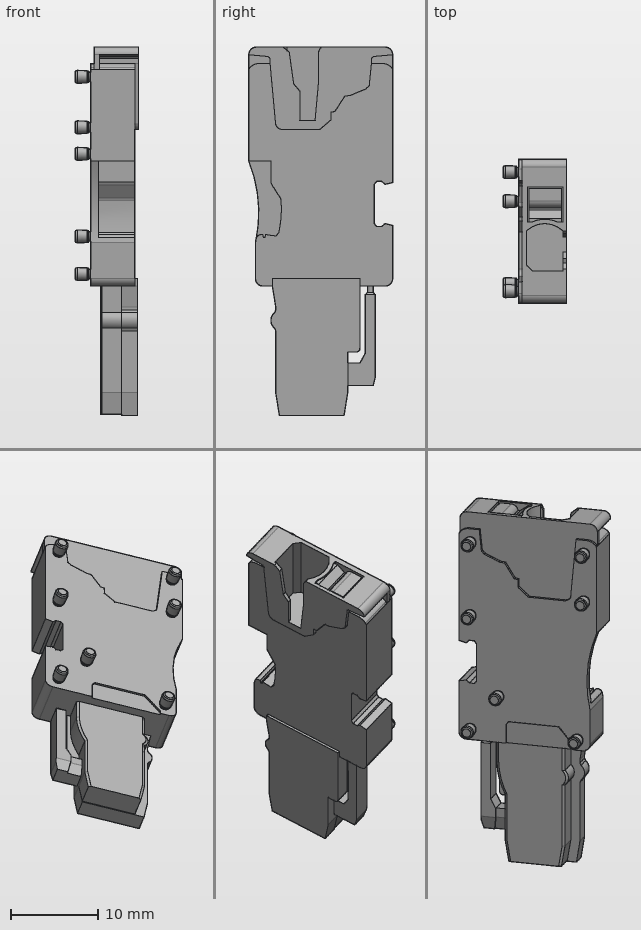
import cadquery as cq


DEPTH = 16.5
HEIGHT = 42.25
HOUSING_RIGHT = 5.05
HEAD_LEFT = 0.4
HEAD_RIGHT = 5.5
HOUSING_BOTTOM = 14.85
CORNER_RADIUS = 0.9

GRIP_TOP = 29.15
FOOT_FRONT = 0.75
FOOT_TOP = 19.8
GRIP_RIDGE_EDGE = 20.2
PLATE_THICKNESS = 0.9
GROOVE_MID_Z = 24.25
GROOVE_FLOOR_Y = 14.4
ARM_TOP = 40.35
ARM_EDGE_TOP = 39.9
ARM_BEVEL = 0.13
ARM_CURVE_WIDTH = 1.1
RECESS_DEPTH = 0.2

LIP_BOTTOM = HEIGHT - CORNER_RADIUS
LIP_DROP = 0.2
LIP_ROOT = 0.2
FLANGE_RIGHT = 1.0
FLANGE_BOTTOM = 39.67
ARM_INNER = 2.45
ENTRY_LEFT = 0.9
ENTRY_FRONT = 3.7
ENTRY_BACK = 8.3
ENTRY_CROWN = 9.13
ENTRY_CHAMFER = 0.68
ENTRY_MID_X = (ENTRY_LEFT + HOUSING_RIGHT) / 2
ENTRY_CREST = ENTRY_CROWN - ENTRY_BACK
ENTRY_RADIUS = ((HOUSING_RIGHT - ENTRY_MID_X) ** 2 + ENTRY_CREST ** 2) / (2 * ENTRY_CREST)
ENTRY_FLOOR = 33.8
ENTRY_WALL = 0.5
WINDOW_LEFT, WINDOW_RIGHT = 1.0, 5.05
WINDOW_FRONT, WINDOW_BACK = 9.3, 13.3
WINDOW_FLOOR = 40.35
BUTTON_TOP = 42.12
BUTTON_VALLEY = 41.4
BUTTON_GAP = 0.15

PIN_LENGTH = 1.8
PIN_POSITIONS = [
    (1.4, 38.83), (15.05, 38.83), (1.4, 33.05), (15.05, 30.0),
    (11.7, 20.55), (15.05, 16.22), (2.2, 16.22),
]

PLUG_LEFT = 1.15
PLUG_SPLIT = 3.55
PLUG_RIGHT = 5.35
PLUG_BEND_Z = 2.6
PLUG_TOP = 15.7
LATCH_Z = 10.9
LATCH_HALF = 0.9
NARROW_FRONT, NARROW_BACK, NARROW_TIP = 4.2, 12.4, 0.13
NARROW_NECK_BACK = 11.35
WIDE_FRONT = 3.1
TIP_TAPER = 0.42
PLUG_BEVEL_X, PLUG_BEVEL_Y = 0.15, 0.3
LEG_LEFT, LEG_RIGHT = 2.1, 4.22
LEG_BACK, LEG_FRONT = 14.55, 13.35
LEG_FOOT_FRONT = 12.75
LEG_SHOULDER, LEG_TOP = 14.1, 13.85
LEG_FOOT_TOP, LEG_BEND_Z, LEG_BOTTOM = 6.05, 4.95, 3.42


def prism(outline, x_start, x_end):
    """Extrude a closed Y-Z outline along X."""
    return outline.extrude(x_end - x_start).translate((x_start, 0, 0))


def polygon(points):
    return cq.Workplane("YZ").polyline(points).close()


def box(x0, x1, y0, y1, z0, z1):
    return cq.Workplane("XY").box(x1 - x0, y1 - y0, z1 - z0, centered=False).translate((x0, y0, z0))


def head_outline():
    return (
        cq.Workplane("YZ").moveTo(0, LIP_BOTTOM)
        .lineTo(ARM_INNER - LIP_ROOT, LIP_BOTTOM - LIP_DROP)
        .lineTo(ARM_INNER, LIP_BOTTOM - LIP_DROP - LIP_ROOT)
        .lineTo(ARM_INNER, ARM_TOP)
        .lineTo(3.1, 33.4)
        .threePointArc((3.35, 33.0), (3.95, 32.8))
        .lineTo(8.15, 32.8)
        .lineTo(9.42, 33.9)
        .lineTo(9.42, 34.77)
        .lineTo(9.9, 34.85)
        .lineTo(11.03, 36.65)
        .lineTo(11.58, 36.67)
        .lineTo(13.45, 37.45)
        .lineTo(13.8, 37.8)
        .lineTo(DEPTH - ARM_INNER, ARM_TOP)
        .lineTo(DEPTH - ARM_INNER, LIP_BOTTOM - LIP_DROP - LIP_ROOT)
        .lineTo(DEPTH - ARM_INNER + LIP_ROOT, LIP_BOTTOM - LIP_DROP)
        .lineTo(DEPTH, LIP_BOTTOM)
        .radiusArc((DEPTH - CORNER_RADIUS, HEIGHT), -CORNER_RADIUS)
        .lineTo(CORNER_RADIUS, HEIGHT)
        .radiusArc((0, LIP_BOTTOM), -CORNER_RADIUS)
        .close()
    )


def head_flange():
    return (
        box(HEAD_LEFT, FLANGE_RIGHT, 0, DEPTH, FLANGE_BOTTOM, HEIGHT)
        .edges("|X and >Z").fillet(CORNER_RADIUS)
    )


def wire_entry():
    """Straight-sided well with a curved rear wall, up to the right cheek of the head."""
    return (
        cq.Workplane("XY").workplane(offset=ENTRY_FLOOR)
        .moveTo(HOUSING_RIGHT, ENTRY_FRONT)
        .lineTo(ENTRY_LEFT + ENTRY_CHAMFER, ENTRY_FRONT)
        .lineTo(ENTRY_LEFT, ENTRY_FRONT + ENTRY_CHAMFER)
        .lineTo(ENTRY_LEFT, ENTRY_BACK)
        .threePointArc((ENTRY_MID_X, ENTRY_CROWN), (HOUSING_RIGHT, ENTRY_BACK))
        .close()
        .extrude(HEIGHT - ENTRY_FLOOR)
    )


def cheek_opening():
    """Opening of the wire entry through the thin right cheek, with sloping sides."""
    return prism(polygon([
        (ENTRY_FRONT + 0.2, HEIGHT), (4.65, 41.65), (5.15, 38.02), (5.87, 37.2), (5.87, ENTRY_FLOOR),
        (7.6, ENTRY_FLOOR), (8.0, 38.02), (8.0, 41.65), (ENTRY_BACK, HEIGHT),
    ]), HOUSING_RIGHT, HEAD_RIGHT)


def button_window():
    """Rectangular window whose front edge bulges around the wire entry."""
    window = box(WINDOW_LEFT, WINDOW_RIGHT, WINDOW_FRONT, WINDOW_BACK, WINDOW_FLOOR, HEIGHT)
    entry_wall = (
        cq.Workplane("XY").workplane(offset=WINDOW_FLOOR)
        .center(ENTRY_MID_X, ENTRY_CROWN - ENTRY_RADIUS)
        .circle(ENTRY_RADIUS + ENTRY_WALL).extrude(HEIGHT - WINDOW_FLOOR)
    )
    return window.cut(entry_wall)


def push_button():
    """Release button standing in the window, with a rounded nose and a ramp in front of it."""
    outline = (
        cq.Workplane("YZ").moveTo(WINDOW_BACK - BUTTON_GAP, WINDOW_FLOOR)
        .lineTo(WINDOW_BACK - BUTTON_GAP, BUTTON_TOP)
        .lineTo(11.75, BUTTON_TOP)
        .threePointArc((11.15, 41.85), (10.95, BUTTON_VALLEY))
        .lineTo(10.7, BUTTON_VALLEY)
        .lineTo(9.7, BUTTON_TOP)
        .lineTo(WINDOW_FRONT, BUTTON_TOP)
        .lineTo(WINDOW_FRONT, WINDOW_FLOOR)
        .close()
    )
    return prism(outline, WINDOW_LEFT + BUTTON_GAP, WINDOW_RIGHT - BUTTON_GAP)


def make_head():
    head = prism(head_outline(), HEAD_LEFT, HEAD_RIGHT).union(head_flange())
    head = head.cut(wire_entry()).cut(cheek_opening())
    return head.cut(button_window()).union(push_button())


def housing_plate():
    """Full side outline with the shallow grip."""
    groove_half = 2.58
    hook_half = 2.25
    groove_edge_half = groove_half - 0.13
    outline = (
        cq.Workplane("YZ").moveTo(0, FLANGE_BOTTOM)
        .lineTo(0, GRIP_TOP)
        .threePointArc((1.15, 23.65), (FOOT_FRONT, FOOT_TOP))
        .lineTo(FOOT_FRONT, HOUSING_BOTTOM + CORNER_RADIUS)
        .radiusArc((FOOT_FRONT + CORNER_RADIUS, HOUSING_BOTTOM), -CORNER_RADIUS)
        .lineTo(DEPTH - CORNER_RADIUS, HOUSING_BOTTOM)
        .radiusArc((DEPTH, HOUSING_BOTTOM + CORNER_RADIUS), -CORNER_RADIUS)
        .lineTo(DEPTH, GROOVE_MID_Z - groove_edge_half)
        .lineTo(15.65, GROOVE_MID_Z - hook_half)
        .lineTo(15.25, GROOVE_MID_Z - groove_half)
        .lineTo(14.65, GROOVE_MID_Z - groove_half)
        .lineTo(GROOVE_FLOOR_Y, GROOVE_MID_Z - hook_half)
        .lineTo(GROOVE_FLOOR_Y, GROOVE_MID_Z + hook_half)
        .lineTo(14.65, GROOVE_MID_Z + groove_half)
        .lineTo(15.25, GROOVE_MID_Z + groove_half)
        .lineTo(15.65, GROOVE_MID_Z + hook_half)
        .lineTo(DEPTH, GROOVE_MID_Z + groove_edge_half)
        .lineTo(DEPTH, FLANGE_BOTTOM)
        .lineTo(DEPTH - ARM_BEVEL, ARM_EDGE_TOP)
        .threePointArc((DEPTH - 0.6, 40.22), (DEPTH - ARM_CURVE_WIDTH, ARM_TOP))
        .lineTo(ARM_CURVE_WIDTH, ARM_TOP)
        .threePointArc((0.6, 40.22), (ARM_BEVEL, ARM_EDGE_TOP))
        .close()
    )
    return prism(outline, 0, HOUSING_RIGHT)


def core_grip():
    """Deeper finger grip in the core, above a rounded ridge with a fine groove along it."""
    outline = (
        cq.Workplane("YZ").moveTo(-0.42, GRIP_TOP)
        .lineTo(2.55, GRIP_TOP)
        .lineTo(2.55, 26.75)
        .lineTo(2.65, 26.45)
        .lineTo(3.65, 24.93)
        .lineTo(3.7, 24.67)
        .threePointArc((3.7, 22.8), (3.45, 21.0))
        .lineTo(3.13, 20.58)
        .lineTo(1.95, 20.75)
        .lineTo(1.85, 20.4)
        .lineTo(1.7, 20.4)
        .lineTo(1.6, 20.75)
        .threePointArc((1.15, 20.65), (0.8, GRIP_RIDGE_EDGE))
        .lineTo(-0.42, GRIP_RIDGE_EDGE)
        .close()
    )
    return prism(outline, PLATE_THICKNESS, HOUSING_RIGHT)


def face_recess():
    return prism(polygon([
        (10.85, HOUSING_BOTTOM), (10.85, 17.05), (10.55, 17.45),
        (4.55, 17.45), (4.2, 17.03), (2.65, 15.2), (2.65, HOUSING_BOTTOM),
    ]), 0, RECESS_DEPTH)


def make_pin(y, z):
    """Coupling pin: thin neck, shank that widens slightly outwards and a bevelled tip."""
    profile = [
        (0, 0), (0.55, 0), (0.55, 0.2), (0.68, 0.25), (0.68, 0.4), (0.7, 0.42),
        (0.75, 1.5), (0.68, 1.75), (0.5, PIN_LENGTH), (0, PIN_LENGTH),
    ]
    pin = cq.Workplane("XY").polyline(profile).close().revolve(360, (0, 0, 0), (0, 1, 0))
    return pin.rotate((0, 0, 0), (0, 0, 1), 90).translate((0, y, z))


def plug_narrow_half():
    """Left half of the plug with its front and back edges bevelled on the left face."""
    def outline(plane, inset):
        front = NARROW_FRONT + inset
        back = NARROW_BACK - inset
        neck_back = NARROW_NECK_BACK - inset
        return (
            plane.moveTo(front, HOUSING_BOTTOM)
            .lineTo(front, LATCH_Z + LATCH_HALF)
            .threePointArc((front - 0.42, LATCH_Z), (front, LATCH_Z - LATCH_HALF))
            .lineTo(front, PLUG_BEND_Z)
            .lineTo(front + TIP_TAPER, NARROW_TIP)
            .lineTo(neck_back - TIP_TAPER, NARROW_TIP)
            .lineTo(neck_back, PLUG_BEND_Z)
            .lineTo(neck_back, 8.2)
            .threePointArc((back - 0.3, 10.0), (back, 12.05))
            .lineTo(back, HOUSING_BOTTOM)
            .close()
        )

    bevel_start = cq.Workplane("YZ").workplane(offset=PLUG_LEFT)
    bevel_end = outline(bevel_start, PLUG_BEVEL_Y).workplane(offset=PLUG_BEVEL_X)
    bevel = outline(bevel_end, 0).loft(ruled=True)
    body = prism(outline(cq.Workplane("YZ"), 0), PLUG_LEFT + PLUG_BEVEL_X, PLUG_SPLIT)
    return bevel.union(body)


def plug_wide_half():
    outline = (
        cq.Workplane("YZ").moveTo(2.7, PLUG_TOP)
        .lineTo(2.7, HOUSING_BOTTOM)
        .lineTo(WIDE_FRONT, 12.45)
        .lineTo(WIDE_FRONT, LATCH_Z + LATCH_HALF + 0.3)
        .lineTo(WIDE_FRONT - 0.13, LATCH_Z + LATCH_HALF)
        .threePointArc((2.55, LATCH_Z), (WIDE_FRONT - 0.13, LATCH_Z - LATCH_HALF))
        .lineTo(WIDE_FRONT, LATCH_Z - LATCH_HALF - 0.3)
        .lineTo(WIDE_FRONT, PLUG_BEND_Z)
        .lineTo(WIDE_FRONT + TIP_TAPER, 0)
        .lineTo(NARROW_NECK_BACK - TIP_TAPER, 0)
        .lineTo(NARROW_NECK_BACK, PLUG_BEND_Z)
        .lineTo(NARROW_NECK_BACK, 7.25)
        .lineTo(12.35, 7.25)
        .radiusArc((12.75, 7.7), -0.42)
        .lineTo(12.75, PLUG_TOP)
        .close()
    )
    return prism(outline, PLUG_SPLIT, PLUG_RIGHT)


def tip_taper(left):
    """Wedge that tapers the lower end of the leg on its left face."""
    wedge = cq.Workplane("XZ").polyline([
        (left, LEG_BEND_Z), (left, LEG_BOTTOM), (left + 0.4, LEG_BOTTOM),
    ]).close()
    return wedge.extrude(-DEPTH)


def plug_leg():
    """Slim leg behind the plug, hung from a short rod and joined to the plug at its foot."""
    rod_y = (LEG_BACK + LEG_FRONT) / 2
    rod_radius = 0.35
    rod_x = (LEG_LEFT + LEG_RIGHT) / 2
    leg_outline = [
        (LEG_BACK, LEG_TOP), (LEG_FRONT, LEG_TOP), (LEG_FRONT, 7.15),
        (LEG_FOOT_FRONT, LEG_FOOT_TOP), (LEG_FOOT_FRONT, LEG_BEND_Z),
        (13.0, LEG_BOTTOM), (14.3, LEG_BOTTOM), (LEG_BACK, 4.45),
    ]
    leg = prism(polygon(leg_outline), LEG_LEFT, LEG_RIGHT).cut(tip_taper(LEG_LEFT))
    foot_left = LEG_LEFT + 0.2
    foot = box(foot_left, LEG_RIGHT, NARROW_NECK_BACK - TIP_TAPER, 13.1, LEG_BOTTOM, LEG_FOOT_TOP)
    shoulder = (
        cq.Workplane("XY").workplane(offset=LEG_TOP).center(rod_x, rod_y)
        .rect(LEG_RIGHT - LEG_LEFT, LEG_BACK - LEG_FRONT)
        .extrude(LEG_SHOULDER - LEG_TOP, taper=45)
    )
    rod = (
        cq.Workplane("XY").workplane(offset=LEG_SHOULDER).center(rod_x, rod_y)
        .circle(rod_radius).extrude(HOUSING_BOTTOM - LEG_SHOULDER)
    )
    return leg.union(foot.cut(tip_taper(foot_left))).union(shoulder).union(rod)


def make_housing():
    housing = housing_plate().cut(core_grip()).cut(face_recess())
    head_seat = prism(head_outline(), 0, HOUSING_RIGHT)
    housing = housing.cut(head_seat).cut(head_flange())
    housing = housing.union(plug_narrow_half()).union(plug_wide_half()).union(plug_leg())
    for y, z in PIN_POSITIONS:
        housing = housing.union(make_pin(y, z))
    return housing


housing = make_housing()
head = make_head()
result = cq.Compound.makeCompound([housing.val(), head.val()])